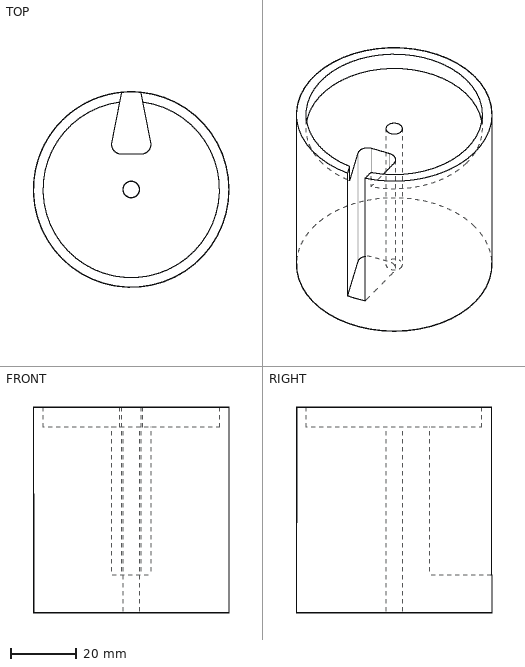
import cadquery as cq

height = 63.0
outer_radius = 30.0
wall = 2.95
recess_depth = 6.0
hole_diameter = 5.0

slot_mouth_width = 5.8
slot_inner_width = 13.35
slot_inner_y = 10.85
slot_corner_radius = 3.0
slot_floor_z = 11.5

recess_radius = outer_radius - wall


def make_body():
    """Solid cylinder with a shallow round recess and a central through hole."""
    body = cq.Workplane("XY").circle(outer_radius).extrude(height)
    recess = (
        cq.Workplane("XY")
        .workplane(offset=height - recess_depth)
        .circle(recess_radius)
        .extrude(recess_depth)
    )
    hole = cq.Workplane("XY").circle(hole_diameter / 2).extrude(height)
    return body.cut(recess).cut(hole)


def make_slot():
    """Wedge that narrows toward the outer wall, with rounded inner corners."""
    half_inner = slot_inner_width / 2
    half_mouth = slot_mouth_width / 2
    return (
        cq.Workplane("XY")
        .workplane(offset=slot_floor_z)
        .moveTo(-half_inner, slot_inner_y)
        .lineTo(half_inner, slot_inner_y)
        .lineTo(half_mouth, outer_radius)
        .lineTo(-half_mouth, outer_radius)
        .close()
        .extrude(height - slot_floor_z)
        .edges("|Z and <Y")
        .fillet(slot_corner_radius)
    )


result = make_body().cut(make_slot())